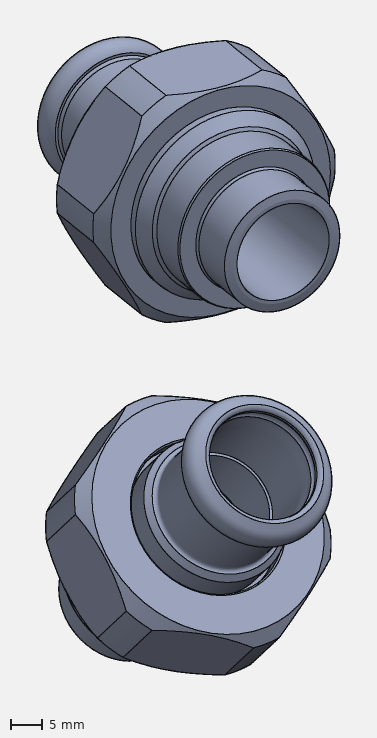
import cadquery as cq
import math

total_length = 59.0

nut_start = 22.95
nut_end = 38.95
nut_flats = 41.0
nut_corner_diameter = 44.65
nut_face_diameter = 40.5
nut_bevel_length = 2.1
nut_mouth_diameter = 26.5
nut_mouth_chamfer = 0.3
nut_bore_diameter = 30.25
nut_wall_end = 25.95

tube_diameter = 21.3
tube_radius = tube_diameter / 2

bead_radius = 12.85
bead_center = 3.25
bead_half_width = 2.5
bead_side_radius = 11.45
lip_radius = 10.25
lip_depth = 0.65
lip_mid_depth = 0.25
lip_mid_radius = 9.7
mouth_radius = 18.7 / 2
groove_start = 1.3
groove_end = 3.05
groove_radius = 9.8
taper_start = 4.0
taper_end = 6.45
socket_radius = 18.3 / 2
bead_foot_radius = 11.0
bead_foot_end = 6.4
neck_end = 18.1
shoulder_fillet_end = 18.8
shoulder_fillet_radius = 11.5
shoulder_start = 19.9
shoulder_radius = 25.0 / 2
flange_radius = 29.5 / 2
flange_thickness = 2.35
flange_end = nut_wall_end + flange_thickness
tailpiece_bore_radius = 17.3 / 2

collar_radius = 33.1 / 2
collar_end = 40.35
collar_cone_end = 42.5
collar_cone_radius = 14.65
hub_start = 42.85
hub_radius = 28.0 / 2
hub_end = 50.0
hub_chamfer_length = 0.35
hub_chamfer_height = 0.2
hub_foot_radius = 10.9
hub_foot_end = 50.5
end_bore_radius = 17.0 / 2
tube_bevel_length = 0.3
tube_face_radius = 18.3 / 2


def revolve_about_x(profile):
    """Close an (x, radius) profile and turn it around the X axis."""
    return profile.close().revolve(360, (0, 0, 0), (1, 0, 0))


def cylinder_along_x(start, end, diameter):
    return cq.Workplane("YZ", origin=(start, 0, 0)).circle(diameter / 2).extrude(end - start)


def make_nut():
    sharp_corner_diameter = nut_flats / math.cos(math.pi / 6)
    hexagon = (
        cq.Workplane("YZ", origin=(nut_start, 0, 0))
        .polygon(6, sharp_corner_diameter)
        .extrude(nut_end - nut_start)
    )
    face_radius = nut_face_diameter / 2
    corner_radius = nut_corner_diameter / 2
    turned_envelope = revolve_about_x(
        cq.Workplane("XY")
        .moveTo(nut_start, 0)
        .lineTo(nut_start, face_radius)
        .lineTo(nut_start + nut_bevel_length, corner_radius)
        .lineTo(nut_end - nut_bevel_length, corner_radius)
        .lineTo(nut_end, face_radius)
        .lineTo(nut_end, 0)
    )
    mouth = cylinder_along_x(nut_start, nut_wall_end, nut_mouth_diameter)
    bore = cylinder_along_x(nut_wall_end, nut_end, nut_bore_diameter)
    nut_mouth_radius = nut_mouth_diameter / 2
    mouth_chamfer = revolve_about_x(
        cq.Workplane("XY")
        .moveTo(nut_start, 0)
        .lineTo(nut_start, nut_mouth_radius + nut_mouth_chamfer)
        .lineTo(nut_start + nut_mouth_chamfer, nut_mouth_radius)
        .lineTo(nut_start + nut_mouth_chamfer, 0)
    )
    return hexagon.intersect(turned_envelope).cut(mouth).cut(bore).cut(mouth_chamfer)


def make_tailpiece():
    bead_start = bead_center - bead_half_width
    bead_end = bead_center + bead_half_width
    groove_center = (groove_start + groove_end) / 2
    profile = (
        cq.Workplane("XY")
        .moveTo(0, lip_radius)
        .lineTo(bead_start, bead_side_radius)
        .threePointArc((bead_center, bead_radius), (bead_end, bead_side_radius))
        .lineTo(bead_end, bead_foot_radius)
        .lineTo(bead_foot_end, tube_radius)
        .lineTo(neck_end, tube_radius)
        .tangentArcPoint((shoulder_fillet_end, shoulder_fillet_radius), relative=False)
        .lineTo(shoulder_start, shoulder_radius)
        .lineTo(nut_wall_end, shoulder_radius)
        .lineTo(nut_wall_end, flange_radius)
        .lineTo(flange_end, flange_radius)
        .lineTo(flange_end, tailpiece_bore_radius)
        .lineTo(neck_end, tailpiece_bore_radius)
        .lineTo(neck_end, socket_radius)
        .lineTo(taper_end, socket_radius)
        .lineTo(taper_start, mouth_radius)
        .lineTo(groove_end, mouth_radius)
        .threePointArc((groove_center, groove_radius), (groove_start, mouth_radius))
        .lineTo(lip_depth, mouth_radius)
        .threePointArc((lip_mid_depth, lip_mid_radius), (0, lip_radius))
    )
    return revolve_about_x(profile)


def make_threaded_end():
    stub_radius = nut_bore_diameter / 2
    profile = (
        cq.Workplane("XY")
        .moveTo(flange_end, end_bore_radius)
        .lineTo(flange_end, stub_radius)
        .lineTo(nut_end, stub_radius)
        .lineTo(nut_end, collar_radius)
        .lineTo(collar_end, collar_radius)
        .lineTo(collar_cone_end, collar_cone_radius)
        .lineTo(hub_start, hub_radius)
        .lineTo(hub_end - hub_chamfer_length, hub_radius)
        .lineTo(hub_end, hub_radius - hub_chamfer_height)
        .lineTo(hub_end, hub_foot_radius)
        .lineTo(hub_foot_end, tube_radius)
        .lineTo(total_length - tube_bevel_length, tube_radius)
        .lineTo(total_length, tube_face_radius)
        .lineTo(total_length, end_bore_radius)
    )
    return revolve_about_x(profile)


nut = make_nut()
tailpiece = make_tailpiece()
threaded_end = make_threaded_end()

result = cq.Compound.makeCompound([nut.val(), tailpiece.val(), threaded_end.val()])